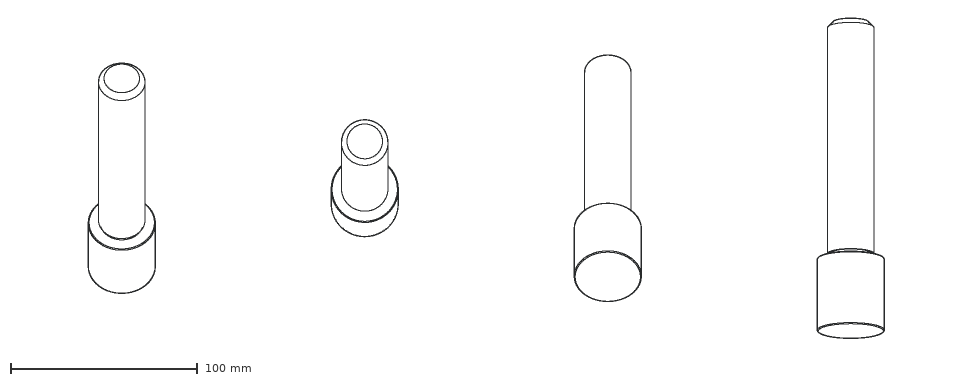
import cadquery as cq

total_height = 170.0

head_diameter = 36.0
head_height = 40.0
head_chamfer = 0.5

neck_diameter = 23.0
neck_height = 2.5

shank_diameter = 25.0
tip_diameter = 19.0
tip_height = 3.0

head_radius = head_diameter / 2
neck_radius = neck_diameter / 2
shank_radius = shank_diameter / 2
tip_radius = tip_diameter / 2
shank_base = head_height + neck_height

profile = (
    cq.Workplane("XZ")
    .moveTo(0, 0)
    .lineTo(head_radius - head_chamfer, 0)
    .lineTo(head_radius, head_chamfer)
    .lineTo(head_radius, head_height - head_chamfer)
    .lineTo(head_radius - head_chamfer, head_height)
    .lineTo(neck_radius, head_height)
    .lineTo(neck_radius, shank_base)
    .lineTo(shank_radius, shank_base)
    .lineTo(shank_radius, total_height - tip_height)
    .lineTo(tip_radius, total_height)
    .lineTo(0, total_height)
    .close()
)

result = profile.revolve(360, (0, 0, 0), (0, 1, 0))